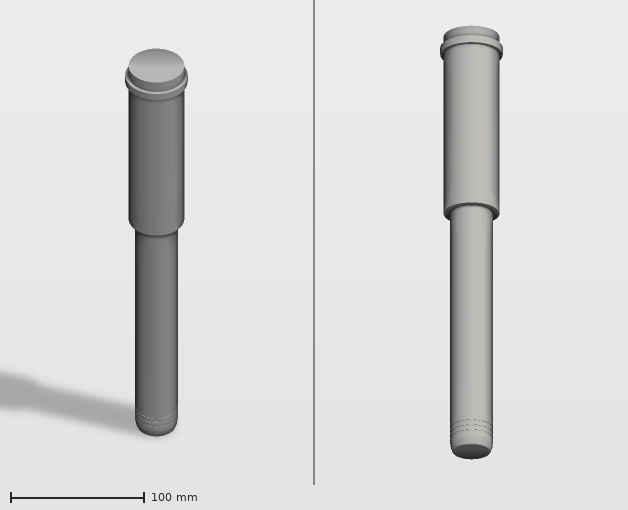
import cadquery as cq

total_height = 340.0
flange_diameter = 47.0
body_diameter = 41.8
shaft_diameter = 32.0

body_height = 145.0
cap_height = 9.0
flange_height = 5.8
seat_clearance = 1.0
seat_depth = 0.5

tip_height = 6.5
tip_diameter = 29.0
tip_bulge = 0.5
tip_chamfer = 0.5

groove_count = 3
groove_pitch = 4.0
groove_width = 1.0
groove_depth = 0.5
first_groove_height = 10.2

body_bottom = total_height - body_height
flange_bottom = total_height - cap_height - flange_height


def cylinder(diameter, bottom, height):
    """Solid cylinder on the Z axis."""
    return cq.Workplane("XY").workplane(offset=bottom).circle(diameter / 2).extrude(height)


def shaft():
    """Lower shaft, revolved with a convex arc that narrows its tip."""
    shaft_radius = shaft_diameter / 2
    tip_radius = tip_diameter / 2
    arc_middle = ((shaft_radius + tip_radius) / 2 + tip_bulge, (tip_height + tip_chamfer) / 2)
    return (
        cq.Workplane("XZ")
        .lineTo(tip_radius - tip_chamfer, 0)
        .lineTo(tip_radius, tip_chamfer)
        .threePointArc(arc_middle, (shaft_radius, tip_height))
        .lineTo(shaft_radius, body_bottom)
        .lineTo(0, body_bottom)
        .close()
        .revolve(360, (0, 0), (0, 1))
    )


def groove(diameter, bottom, width, depth):
    """Ring of material removed by a groove around a cylinder."""
    ring = cylinder(diameter, bottom, width)
    core = cylinder(diameter - 2 * depth, bottom, width)
    return ring.cut(core)


def body():
    """Upper body with a shallow seat groove slightly wider than the flange ring it holds."""
    seat_bottom = flange_bottom - seat_clearance
    seat_width = flange_height + 2 * seat_clearance
    seat = groove(body_diameter, seat_bottom, seat_width, seat_depth)
    flange = cylinder(flange_diameter, flange_bottom, flange_height)
    return cylinder(body_diameter, body_bottom, body_height).cut(seat).union(flange)


result = shaft().union(body())

neck = groove(shaft_diameter, body_bottom - groove_width, groove_width, groove_depth)
result = result.cut(neck)

for index in range(groove_count):
    groove_bottom = first_groove_height + index * groove_pitch
    result = result.cut(groove(shaft_diameter, groove_bottom, groove_width, groove_depth))